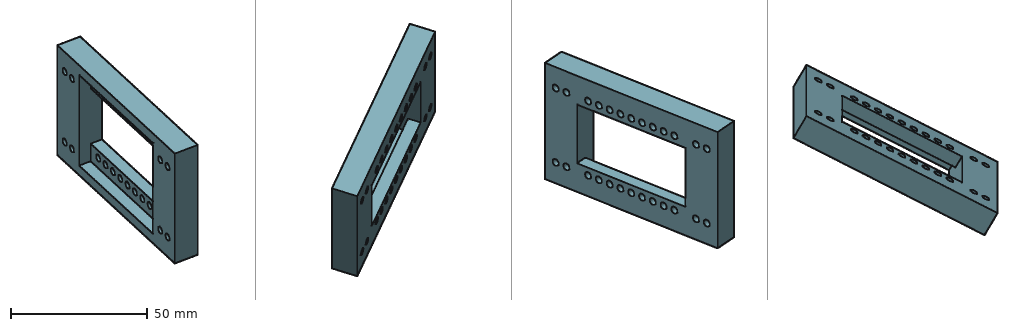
import cadquery as cq

width = 80.0
thickness = 10.0
height = 50.0

pocket_width = 50.2
pocket_height = 41.2
pocket_depth = 5.0
window_height = 25.2

hole_diameter = 2.8
hole_pitch = 5.0
row_offset = 16.0
ledge_hole_count = 9
side_hole_count = 2
side_hole_first_x = 30.0


def front_cut(size_x, size_z, depth):
    """Box centred in X and Z that reaches the given depth behind the front face."""
    front_y = -thickness / 2
    return cq.Workplane("XY").box(size_x, depth, size_z).translate((0, front_y + depth / 2, 0))


def hole_positions():
    """(x, z) centres of the ledge holes and of the hole pairs in the side bars."""
    ledge_start_x = -hole_pitch * (ledge_hole_count - 1) / 2
    columns = [ledge_start_x + i * hole_pitch for i in range(ledge_hole_count)]
    for i in range(side_hole_count):
        side_x = side_hole_first_x + i * hole_pitch
        columns += [-side_x, side_x]
    return [(x, z) for x in columns for z in (-row_offset, row_offset)]


def through_holes():
    """Cylinders along Y through the full thickness."""
    return (
        cq.Workplane("XZ")
        .pushPoints(hole_positions())
        .circle(hole_diameter / 2)
        .extrude(thickness / 2, both=True)
    )


frame = cq.Workplane("XY").box(width, thickness, height)
pocket = front_cut(pocket_width, pocket_height, pocket_depth)
window = front_cut(pocket_width, window_height, thickness)

result = frame.cut(pocket).cut(window).cut(through_holes())